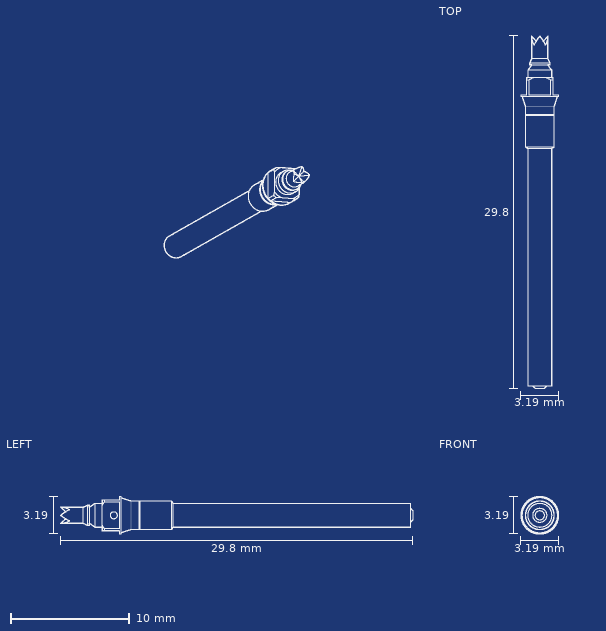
import cadquery as cq
import math

LENGTH = 29.8

PLUNGER_R = 0.7
COLLAR_R = 0.85
TUBE_R = 1.0
SLEEVE_R = 1.22
SLEEVE_GROOVE_R = 1.2
FLANGE_R = 1.595
CONE_TOP_R = 1.5
NUB_R = 0.6
NUB_END_R = 0.4

COLLAR_CONE_START = 1.9
COLLAR_START = 2.25
COLLAR_END = 2.45
SHOULDER_START = 2.9
HEAD_START = 3.52
FLANGE_START = 4.98
FLANGE_END = 5.13
CONE_END = 5.95
GROOVE_START = 6.65
GROOVE_WIDTH = 0.1
SLEEVE_END = 9.5

HEAD_CHAMFER = 0.18
SLEEVE_TAPER_LENGTH = 0.12

HEAD_WIDTH_X = 2.25
HEAD_WIDTH_Z = 2.62

DIMPLE_R = 0.3
DIMPLE_DEPTH = 0.15
DIMPLE_FROM_TIP = 4.5

NUB_HEIGHT = 0.2

CROWN_DEPTH = 0.77
GROOVE_ANGLE = 45


def from_tip(distance):
    """Y coordinate of a place given by its distance behind the crown tip."""
    return LENGTH - distance


def turned_body():
    """Revolve the stepped outline, from the crown tip back to the nub."""
    outline = [
        (PLUNGER_R, 0),
        (PLUNGER_R, COLLAR_CONE_START),
        (COLLAR_R, COLLAR_START),
        (COLLAR_R, COLLAR_END),
        (PLUNGER_R, COLLAR_END),
        (TUBE_R, SHOULDER_START),
        (TUBE_R, HEAD_START),
        (FLANGE_R - HEAD_CHAMFER, HEAD_START),
        (FLANGE_R, HEAD_START + HEAD_CHAMFER),
        (FLANGE_R, FLANGE_END),
        (CONE_TOP_R, FLANGE_END),
        (SLEEVE_R, CONE_END),
        (SLEEVE_R, GROOVE_START),
        (SLEEVE_GROOVE_R, GROOVE_START),
        (SLEEVE_GROOVE_R, GROOVE_START + GROOVE_WIDTH),
        (SLEEVE_R, GROOVE_START + GROOVE_WIDTH),
        (SLEEVE_R, SLEEVE_END - SLEEVE_TAPER_LENGTH),
        (TUBE_R, SLEEVE_END),
        (TUBE_R, LENGTH - NUB_HEIGHT),
        (NUB_R, LENGTH - NUB_HEIGHT),
        (NUB_END_R, LENGTH),
        (0, LENGTH),
    ]
    points = [(radius, from_tip(distance)) for radius, distance in outline]
    profile = cq.Workplane("XY").moveTo(0, LENGTH).polyline(points, includeCurrent=True).close()
    return profile.revolve(360, (0, 0, 0), (0, 1, 0))


def head_flats():
    """Material outside the four flats of the wrench head."""
    head_length = FLANGE_START - HEAD_START
    middle = from_tip((HEAD_START + FLANGE_START) / 2)
    blank_width = 3 * FLANGE_R
    blank = cq.Workplane("XY").box(blank_width, head_length, blank_width)
    core = cq.Workplane("XY").box(HEAD_WIDTH_X, head_length, HEAD_WIDTH_Z)
    return blank.cut(core).translate((0, middle, 0))


def crown_groove(angle):
    """V groove across the tip, turned about the axis by the given angle."""
    half_width = PLUNGER_R * math.sin(math.radians(GROOVE_ANGLE))
    outline = [(-half_width, LENGTH), (0, from_tip(CROWN_DEPTH)), (half_width, LENGTH)]
    groove = cq.Workplane("XY").polyline(outline).close().extrude(2 * PLUNGER_R, both=True)
    return groove.rotate((0, 0, 0), (0, 1, 0), angle)


def dimple():
    """Conical dimple in the -X flat of the head."""
    mouth = cq.Vector(-HEAD_WIDTH_X / 2, from_tip(DIMPLE_FROM_TIP), 0)
    return cq.Workplane(cq.Solid.makeCone(DIMPLE_R, 0, DIMPLE_DEPTH, mouth, cq.Vector(1, 0, 0)))


result = turned_body().cut(head_flats()).cut(dimple())
for groove_angle in (GROOVE_ANGLE, -GROOVE_ANGLE):
    result = result.cut(crown_groove(groove_angle))